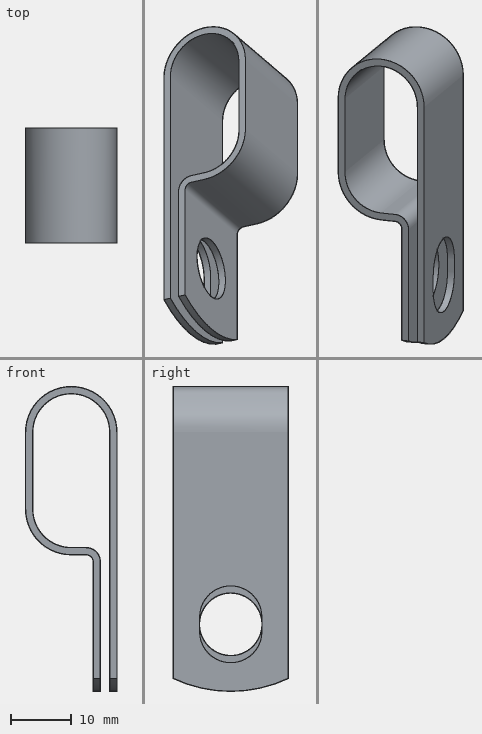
import cadquery as cq
import math

thickness = 1.22
band_width = 19.05
loop_bore = 12.7
loop_straight = 12.7
total_height = 50.42
leg_gap = 1.52
bend_inner_radius = 1.15
hole_diameter = 10.3
slot_length = 12.7
hole_height = 11.1
end_sagitta = 2.15

inner_radius = loop_bore / 2
outer_radius = inner_radius + thickness
bend_outer_radius = bend_inner_radius + thickness
upper_center_z = total_height - outer_radius
lower_center_z = upper_center_z - loop_straight
floor_top_z = lower_center_z - inner_radius
floor_bottom_z = lower_center_z - outer_radius
short_leg_right = inner_radius - leg_gap
short_leg_left = short_leg_right - thickness
bend_center_x = short_leg_right - bend_outer_radius
bend_center_z = floor_top_z - bend_outer_radius
half_width = band_width / 2
diagonal = math.sqrt(0.5)


def bent_strip():
    """Side profile of the strip, extruded symmetrically along Y."""
    profile = (
        cq.Workplane("XZ")
        .moveTo(outer_radius, 0)
        .lineTo(outer_radius, upper_center_z)
        .threePointArc((0, total_height), (-outer_radius, upper_center_z))
        .lineTo(-outer_radius, lower_center_z)
        .threePointArc(
            (-outer_radius * diagonal, lower_center_z - outer_radius * diagonal),
            (0, floor_bottom_z),
        )
        .lineTo(bend_center_x, floor_bottom_z)
        .threePointArc(
            (
                bend_center_x + bend_inner_radius * diagonal,
                bend_center_z + bend_inner_radius * diagonal,
            ),
            (short_leg_left, bend_center_z),
        )
        .lineTo(short_leg_left, 0)
        .lineTo(short_leg_right, 0)
        .lineTo(short_leg_right, bend_center_z)
        .threePointArc(
            (
                bend_center_x + bend_outer_radius * diagonal,
                bend_center_z + bend_outer_radius * diagonal,
            ),
            (bend_center_x, floor_top_z),
        )
        .lineTo(0, floor_top_z)
        .threePointArc(
            (-inner_radius * diagonal, lower_center_z - inner_radius * diagonal),
            (-inner_radius, lower_center_z),
        )
        .lineTo(-inner_radius, upper_center_z)
        .threePointArc((0, upper_center_z + inner_radius), (inner_radius, upper_center_z))
        .lineTo(inner_radius, 0)
        .close()
    )
    return profile.extrude(half_width, both=True)


def rounded_end_envelope():
    """Block around the whole part whose underside is the arc of the leg ends."""
    return (
        cq.Workplane("YZ")
        .moveTo(-half_width, end_sagitta)
        .threePointArc((0, 0), (half_width, end_sagitta))
        .lineTo(half_width, total_height)
        .lineTo(-half_width, total_height)
        .close()
        .extrude(outer_radius, both=True)
    )


def short_leg_hole():
    """Round screw hole through the short leg."""
    return (
        cq.Workplane("YZ", origin=(short_leg_left, 0, hole_height))
        .circle(hole_diameter / 2)
        .extrude(thickness)
    )


def long_leg_slot():
    """Vertical screw slot through the long leg, centred on the round hole."""
    return (
        cq.Workplane("YZ", origin=(inner_radius, 0, hole_height))
        .slot2D(slot_length, hole_diameter, 90)
        .extrude(thickness)
    )


result = (
    bent_strip()
    .intersect(rounded_end_envelope())
    .cut(short_leg_hole())
    .cut(long_leg_slot())
)